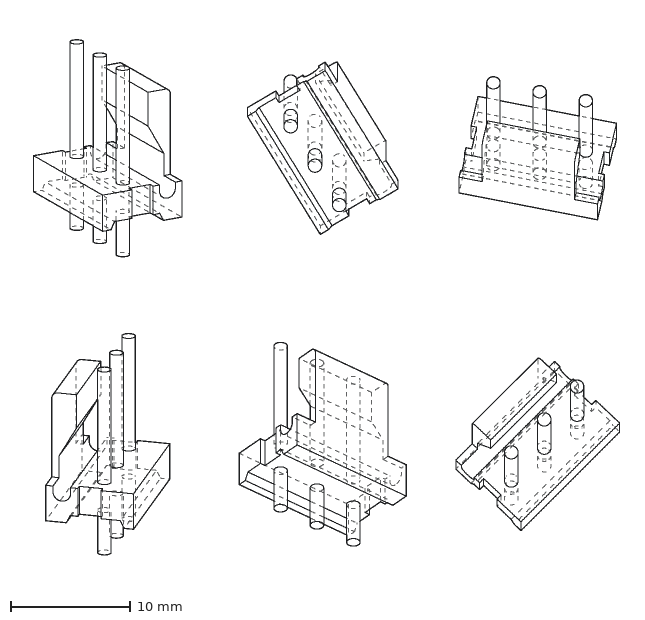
import cadquery as cq

pin_count = 3
pin_pitch = 3.96
pin_diameter = 1.14
pin_length = 16.51

base_length = pin_count * pin_pitch
base_depth = 7.63
base_front = -3.05
base_back = base_front + base_depth
base_bottom = 3.15
base_top = 6.35

channel_roof = 3.83
channel_front = base_front + 1.15
channel_back = base_front + 5.5
channel_flare = 0.35

groove_width = 1.52
groove_radius = groove_width / 2
groove_front = base_front + 5.46
groove_back = groove_front + groove_width
groove_axis_z = 5.83
groove_axis_y = groove_front + groove_radius

latch_length = (pin_count - 1) * pin_pitch
latch_top = 13.98
head_ramp_bottom = 8.32
head_ramp_top = 11.0
latch_round = 0.51

notch_depth = 0.5
notch_front = base_front + 2.8
notch_width = 2.03


def extrude_along_x(profile, length):
    """Extrude a closed YZ profile symmetrically about X = 0."""
    return profile.extrude(length / 2, both=True)


def make_base():
    profile = (
        cq.Workplane("YZ")
        .moveTo(base_front, base_bottom)
        .lineTo(channel_front - channel_flare, base_bottom)
        .lineTo(channel_front, channel_roof)
        .lineTo(channel_back, channel_roof)
        .lineTo(channel_back + channel_flare, base_bottom)
        .lineTo(base_back, base_bottom)
        .lineTo(base_back, base_top)
        .lineTo(groove_back, base_top)
        .lineTo(groove_back, groove_axis_z)
        .threePointArc(
            (groove_axis_y, groove_axis_z - groove_radius),
            (groove_front, groove_axis_z),
        )
        .lineTo(groove_front, base_top)
        .lineTo(base_front, base_top)
        .close()
    )
    base = extrude_along_x(profile, base_length)
    notches = (
        cq.Workplane("XY")
        .workplane(offset=base_bottom)
        .pushPoints([(side * base_length / 2, notch_front + notch_width / 2) for side in (-1, 1)])
        .rect(2 * notch_depth, notch_width)
        .extrude(base_top - base_bottom)
    )
    return base.cut(notches)


def make_latch():
    profile = (
        cq.Workplane("YZ")
        .moveTo(base_back, base_top)
        .lineTo(base_back, latch_top - latch_round)
        .radiusArc((base_back - latch_round, latch_top), -latch_round)
        .lineTo(groove_front, latch_top)
        .lineTo(groove_front, head_ramp_top)
        .lineTo(groove_back, head_ramp_bottom)
        .lineTo(groove_back, base_top)
        .close()
    )
    return extrude_along_x(profile, latch_length)


def make_pins():
    return (
        cq.Workplane("XY")
        .rarray(pin_pitch, 0.17, pin_count, 1)
        .circle(pin_diameter / 2)
        .extrude(pin_length)
    )


result = make_base().union(make_latch()).union(make_pins())